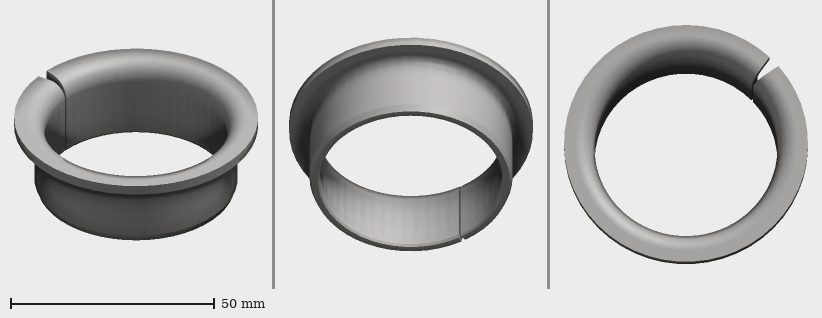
import cadquery as cq
import math

outer_radius = 25.0
wall = 2.5
total_height = 20.0
inner_radius = outer_radius - wall

flange_radius = 30.0
flange_thickness = 2.5
flange_underside = total_height - flange_thickness

under_fillet = 2.0
mouth_fillet = under_fillet + flange_thickness

chamfer_height = 1.8
chamfer_angle = 20.0
chamfer_depth = chamfer_height * math.tan(math.radians(chamfer_angle))

bore_chamfer_height = 0.6
bore_chamfer_angle = 30.0
bore_chamfer_depth = bore_chamfer_height * math.tan(math.radians(bore_chamfer_angle))

split_bore_width = 0.5
split_side_angle = 10.0
split_overrun = 1.0


def arc_middle(center, radius):
    """Point on an arc halfway between its inward and upward directions."""
    reach = radius * math.sqrt(0.5)
    return (center[0] - reach, center[1] + reach)


def make_flanged_sleeve():
    """Revolve the wall section, drawn as (radius, height), about Z."""
    fillet_center = (outer_radius + under_fillet, flange_underside - under_fillet)
    section = (
        cq.Workplane("XZ")
        .moveTo(inner_radius + bore_chamfer_depth, 0)
        .lineTo(outer_radius - chamfer_depth, 0)
        .lineTo(outer_radius, chamfer_height)
        .lineTo(outer_radius, fillet_center[1])
        .threePointArc(
            arc_middle(fillet_center, under_fillet),
            (fillet_center[0], flange_underside),
        )
        .lineTo(flange_radius, flange_underside)
        .lineTo(flange_radius, total_height)
        .lineTo(fillet_center[0], total_height)
        .threePointArc(
            arc_middle(fillet_center, mouth_fillet),
            (inner_radius, fillet_center[1]),
        )
        .lineTo(inner_radius, bore_chamfer_height)
        .close()
    )
    ring = section.revolve(360, (0, 0), (0, 1))
    return ring.rotate((0, 0, 0), (0, 0, 1), 180)


def make_split_wedge():
    """Triangular prism that opens the ring through its full height."""
    slope = math.tan(math.radians(split_side_angle))
    apex_radius = inner_radius - split_bore_width / 2 / slope
    far_radius = flange_radius + split_overrun
    far_half_width = (far_radius - apex_radius) * slope
    return (
        cq.Workplane("XY")
        .moveTo(-apex_radius, 0)
        .lineTo(-far_radius, far_half_width)
        .lineTo(-far_radius, -far_half_width)
        .close()
        .extrude(total_height)
    )


result = make_flanged_sleeve().cut(make_split_wedge())